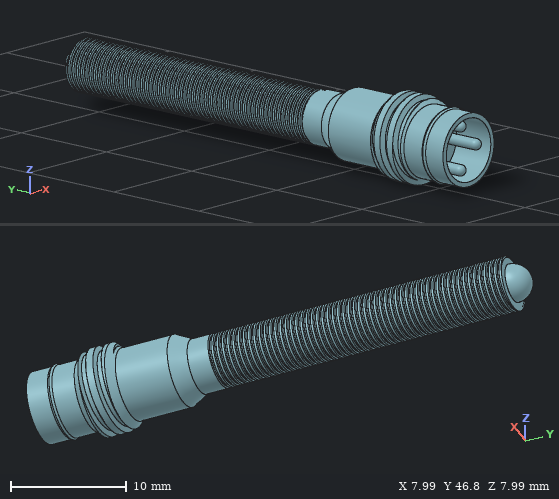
import cadquery as cq
import math

TOTAL_LENGTH = 46.75
DOME_RADIUS = 1.75
STEM_END = TOTAL_LENGTH - DOME_RADIUS
TAPER_START = 13.45
TAPER_END = 15.0

BODY_RADIUS = 3.295
RIDGE_CENTRE = 2.25
RIDGE_WIDTH = 0.4
RIDGE_HEIGHT = 0.15

COUPLING_START = 4.6
COUPLING_END = 8.5
COUPLING_PITCH = 1.5
COUPLING_RADIUS = 3.995
COUPLING_ROOT_RADIUS = 3.5
COUPLING_MOUTH_WIDTH = 0.8
COUPLING_ROOT_WIDTH = 0.4
COUPLING_CHAMFER = COUPLING_RADIUS - BODY_RADIUS
COUPLING_GROOVE_START = 4.1
COUPLING_TURNS = math.ceil((COUPLING_END - COUPLING_GROOVE_START) / COUPLING_PITCH) + 1

STEM_RADIUS = 2.5
STEM_PITCH = 0.5
STEM_ROOT_RADIUS = 2.35
STEM_MOUTH_WIDTH = 0.265
STEM_ROOT_WIDTH = 0.15
STEM_START_ANGLE = 90.0
SECTION_TURNS = 4
SECTION_COUNT = 14
SECTION_LENGTH = SECTION_TURNS * STEM_PITCH
STEM_THREAD_START = STEM_END - SECTION_COUNT * SECTION_LENGTH

SOCKET_RADIUS = 2.85
SOCKET_DEPTH = 4.0
PIN_RADIUS = 0.5
PIN_SETBACK = 0.45
PIN_CIRCLE_RADIUS = 1.95
PIN_ANGLES = (-90.0, 0.0, 90.0)

CUTTER_OVERREACH = 0.1
TURN_OVERLAP = 0.03
PIN_EMBED = 0.1


def cylinder_along_y(radius, start, end):
    return cq.Workplane("XZ", origin=(0, start, 0)).circle(radius).extrude(start - end)


def revolve_about_y(profile):
    return profile.close().revolve(360, (0, 0, 0), (0, 1, 0))


def groove_turn(pitch, radius, root_radius, mouth_width, root_width):
    """Cutter for one right-handed thread turn along +Y, starting at the origin on the +X side."""
    flank_slope = (mouth_width - root_width) / (radius - root_radius)
    cutter_radius = radius + CUTTER_OVERREACH
    cutter_width = mouth_width + flank_slope * CUTTER_OVERREACH
    helix = cq.Wire.makeHelix(pitch, (1 + TURN_OVERLAP) * pitch, root_radius)
    section = cq.Workplane("XZ").polyline([
        (root_radius, -root_width / 2),
        (cutter_radius, -cutter_width / 2),
        (cutter_radius, cutter_width / 2),
        (root_radius, root_width / 2),
    ]).close()
    return section.sweep(cq.Workplane(helix), isFrenet=True).rotate((0, 0, 0), (1, 0, 0), -90)


def cut_turns(blank, turn, pitch, start, count):
    for index in range(count):
        blank = blank.cut(turn.translate((0, start + index * pitch, 0)))
    return blank


def barrel():
    ridge_half_width = RIDGE_WIDTH / 2
    return revolve_about_y(
        cq.Workplane("XY")
        .moveTo(0, 0)
        .lineTo(BODY_RADIUS, 0)
        .lineTo(BODY_RADIUS, RIDGE_CENTRE - ridge_half_width)
        .lineTo(BODY_RADIUS + RIDGE_HEIGHT, RIDGE_CENTRE)
        .lineTo(BODY_RADIUS, RIDGE_CENTRE + ridge_half_width)
        .lineTo(BODY_RADIUS, COUPLING_START)
        .lineTo(COUPLING_RADIUS, COUPLING_START + COUPLING_CHAMFER)
        .lineTo(COUPLING_RADIUS, COUPLING_END - COUPLING_CHAMFER)
        .lineTo(BODY_RADIUS, COUPLING_END)
        .lineTo(BODY_RADIUS, TAPER_START)
        .lineTo(STEM_RADIUS, TAPER_END)
        .lineTo(0, TAPER_END)
    )


def threaded_barrel():
    turn = groove_turn(
        COUPLING_PITCH, COUPLING_RADIUS, COUPLING_ROOT_RADIUS, COUPLING_MOUTH_WIDTH, COUPLING_ROOT_WIDTH
    )
    return cut_turns(barrel(), turn, COUPLING_PITCH, COUPLING_GROOVE_START, COUPLING_TURNS)


def threaded_stem():
    """Stem thread sewn from sections whose matching end faces are left out."""
    turn = groove_turn(STEM_PITCH, STEM_RADIUS, STEM_ROOT_RADIUS, STEM_MOUTH_WIDTH, STEM_ROOT_WIDTH)
    turn = turn.rotate((0, 0, 0), (0, 1, 0), -STEM_START_ANGLE)

    first_end = STEM_THREAD_START + SECTION_LENGTH
    first = cylinder_along_y(STEM_RADIUS, TAPER_END, first_end)
    first = cut_turns(first, turn, STEM_PITCH, STEM_THREAD_START, SECTION_TURNS + 1)

    repeated = cylinder_along_y(STEM_RADIUS, first_end, first_end + SECTION_LENGTH)
    lead_in = first_end - 2 * STEM_PITCH
    repeated = cut_turns(repeated, turn, STEM_PITCH, lead_in, SECTION_TURNS + 3)

    faces = first.faces("not >Y").vals()
    for index in range(SECTION_COUNT - 1):
        section = repeated.translate((0, index * SECTION_LENGTH, 0))
        faces += section.faces("not (<Y or >Y)").vals()
    faces += section.faces(">Y").vals()
    return cq.Workplane(cq.Solid.makeSolid(cq.Shell.makeShell(faces)))


def dome():
    return revolve_about_y(
        cq.Workplane("XY")
        .moveTo(0, STEM_END)
        .lineTo(DOME_RADIUS, STEM_END)
        .radiusArc((0, TOTAL_LENGTH), -DOME_RADIUS)
    )


def contact_pin(angle):
    """Round-nosed pin standing on the socket floor."""
    nose_centre = PIN_SETBACK + PIN_RADIUS
    shank = cylinder_along_y(PIN_RADIUS, nose_centre, SOCKET_DEPTH + PIN_EMBED)
    nose = cq.Workplane("XY").sphere(PIN_RADIUS).translate((0, nose_centre, 0))
    x = PIN_CIRCLE_RADIUS * math.cos(math.radians(angle))
    z = PIN_CIRCLE_RADIUS * math.sin(math.radians(angle))
    return shank.union(nose).translate((x, 0, z))


result = threaded_barrel().cut(cylinder_along_y(SOCKET_RADIUS, 0, SOCKET_DEPTH))
for pin_angle in PIN_ANGLES:
    result = result.union(contact_pin(pin_angle))
result = result.union(dome()).union(threaded_stem())